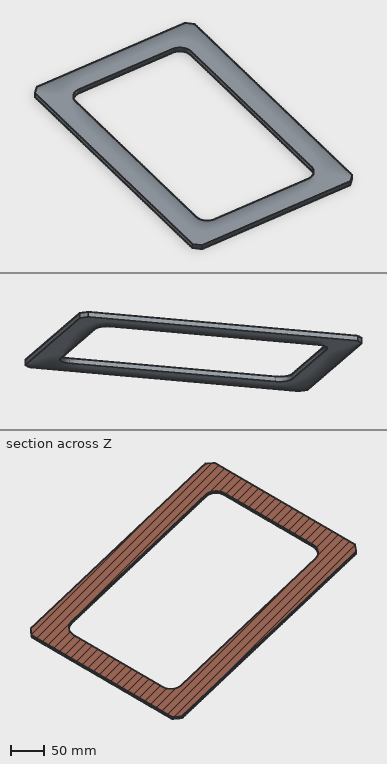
import cadquery as cq

length = 444.0
width = 288.0
thickness = 8.0
corner_chamfer = 10.0

border = 40.0
window_radius = 20.0
window_length = length - 2 * border
window_width = width - 2 * border


def make_plate():
    """Flat rectangular plate with bevelled outer corners."""
    plate = cq.Workplane("XY").box(length, width, thickness)
    return plate.edges("|Z").chamfer(corner_chamfer)


def make_window():
    """Round-cornered block that cuts the opening through the plate."""
    window = cq.Workplane("XY").box(window_length, window_width, thickness)
    return window.edges("|Z").fillet(window_radius)


result = make_plate().cut(make_window())